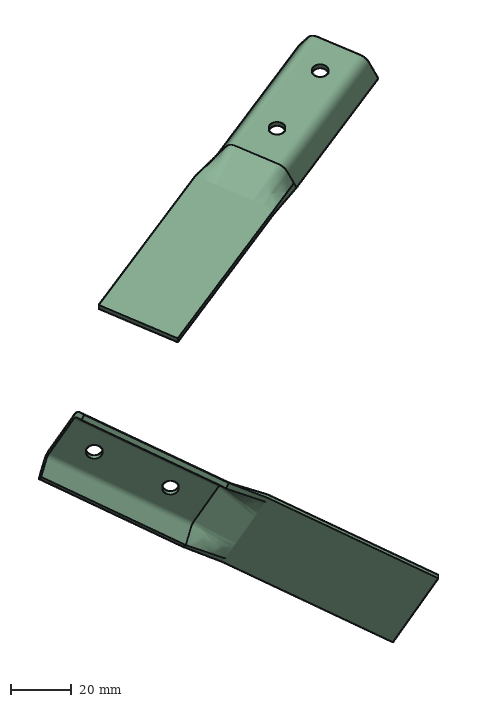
import cadquery as cq
import math

width = 30.0
total_length = 135
sheet = 2.0
channel_length = 55.1
neck_length = 15.0
height = 9.0
bend_radius = 4.0
flare_angle = 30
blade_drop = 4.0
hole_diameter = 5.5
hole_count = 2
hole_pitch = 29.0
hole_end_distance = 12.5

rear_y = total_length
neck_rear_y = rear_y - channel_length
neck_front_y = neck_rear_y - neck_length
half_width = width / 2
blade_bottom = -blade_drop - sheet

lean = math.radians(flare_angle)
across_leg = (math.cos(lean), math.sin(lean))
along_leg = (math.sin(lean), -math.cos(lean))
inner_radius = bend_radius - sheet
leg_tip_outer = (half_width, -height + sheet * across_leg[1])
leg_tip_inner = (half_width - sheet * across_leg[0], -height)
bend_outer_z = -bend_radius * (1 - across_leg[1])
leg_run = (bend_outer_z - leg_tip_outer[1]) / -along_leg[1]
bend_center = (
    half_width - leg_run * along_leg[0] - bend_radius * across_leg[0],
    -bend_radius,
)


def bend_point(radius, from_vertical):
    """Point on the +X bend at an angle measured from straight up."""
    return (
        bend_center[0] + radius * math.sin(from_vertical),
        bend_center[1] + radius * math.cos(from_vertical),
    )


def at_station(point, y):
    """Section point (x, z) placed at a station along Y."""
    return cq.Vector(point[0], y, point[1])


def mirrored(point):
    """Section point reflected to the other side in X."""
    return (-point[0], point[1])


bend_turn = math.pi / 2 - lean
leg_split = (
    leg_tip_outer[0] - sheet * along_leg[0],
    leg_tip_outer[1] - sheet * along_leg[1],
)
outer_bend = [bend_point(bend_radius, turn) for turn in (0, bend_turn / 2, bend_turn)]
inner_bend = [bend_point(inner_radius, turn) for turn in (bend_turn, bend_turn / 2, 0)]
top_edge = [mirrored(outer_bend[0]), outer_bend[0]]
under_edge = [inner_bend[-1], mirrored(inner_bend[-1])]
right_edges = [
    outer_bend,
    [outer_bend[-1], leg_split],
    [leg_split, leg_tip_outer],
    [leg_tip_outer, leg_tip_inner],
    [leg_tip_inner, inner_bend[0]],
    inner_bend,
]
left_edges = [[mirrored(point) for point in reversed(edge)] for edge in reversed(right_edges)]
channel_edges = [top_edge, *right_edges, under_edge, *left_edges]

bend_length = bend_radius * bend_turn
inner_bend_length = inner_radius * bend_turn
half_flat = outer_bend[0][0]
leg_inner_length = math.dist(leg_tip_inner, inner_bend[0])
upper_length = half_flat + bend_length + math.dist(outer_bend[-1], leg_split)
under_length = half_flat + inner_bend_length + leg_inner_length
blade_right = [
    (half_width * half_flat / upper_length, -blade_drop),
    (half_width * (half_flat + bend_length) / upper_length, -blade_drop),
    (half_width, -blade_drop),
    (half_width, blade_bottom),
    (leg_tip_inner[0], blade_bottom),
    (leg_tip_inner[0] * (half_flat + inner_bend_length) / under_length, blade_bottom),
    (leg_tip_inner[0] * half_flat / under_length, blade_bottom),
]
blade_outline = blade_right + [mirrored(point) for point in reversed(blade_right)]


def section_edge(points, y):
    """A line through two points or an arc through three, at one station."""
    vectors = [at_station(point, y) for point in points]
    if len(vectors) == 3:
        return cq.Edge.makeThreePointArc(*vectors)
    return cq.Edge.makeLine(*vectors)


def neck_solid():
    """Blend from the channel section to the flat blade section, as ruled skins."""
    rear = [section_edge(points, neck_rear_y) for points in channel_edges]
    front = []
    for index, end in enumerate(blade_outline):
        front.append(section_edge([blade_outline[index - 1], end], neck_front_y))
    skins = [cq.Face.makeRuledSurface(a, b) for a, b in zip(rear, front)]
    ends = [cq.Face.makeFromWires(cq.Wire.assembleEdges(edges)) for edges in (rear, front)]
    return cq.Solid.makeSolid(cq.Shell.makeShell(skins + ends))


def make_channel():
    """Flared channel with a row of holes through its web."""
    wire = cq.Wire.assembleEdges([section_edge(points, neck_rear_y) for points in channel_edges])
    body = cq.Workplane(cq.Solid.extrudeLinear(wire, [], cq.Vector(0, channel_length, 0)))
    hole_centers = [(0, rear_y - hole_end_distance - i * hole_pitch) for i in range(hole_count)]
    holes = (
        cq.Workplane("XY")
        .pushPoints(hole_centers)
        .circle(hole_diameter / 2)
        .extrude(-height)
    )
    return body.cut(holes).clean()


def make_blade():
    """Flat blade with the neck that joins it to the channel."""
    flat = cq.Workplane("XY").box(width, neck_front_y, sheet, centered=(True, False, False))
    return flat.translate((0, 0, blade_bottom)).union(cq.Workplane(neck_solid()))


channel = make_channel()
blade = make_blade()
result = cq.Compound.makeCompound([channel.val(), blade.val()])